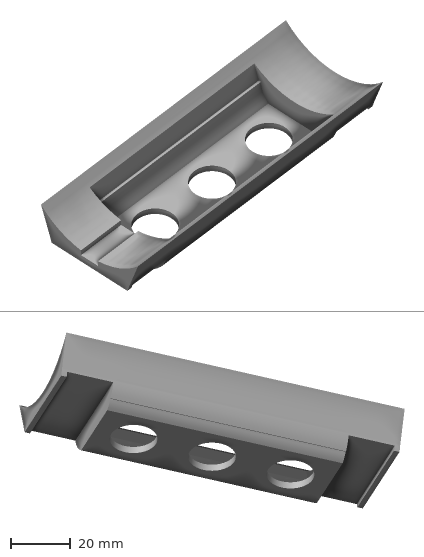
import cadquery as cq
import math

length = 121.0
height = 20.6
half_width = 22.0

cradle_bottom = 10.9
cradle_rise = height - cradle_bottom
cradle_radius = (half_width**2 + cradle_rise**2) / (2 * cradle_rise)

flank_bottom = 8.5
flank_half_width = 17.9
shoulder_bulge = 0.4
foot_top = 2.8
shoulder_half_width = 15.2
foot_ledge = 0.2
foot_half_width = 12.1
foot_bulge = 0.2

relief_z = 7.7
lip_z = 6.0
lip_thickness = 1.9
keel_length = 84.2

pocket_length = 81.3
pocket_floor = 2.5
pocket_floor_half_width = 11.9
ledge_z = 10.5
ledge_inner = 15.1
ledge_outer = 16.1
pocket_bulge = 0.8
wall_bend_z = 12.7
wall_bend_half_width = 16.8
pocket_mouth_half_width = 18.2
cradle_axis_z = cradle_bottom + cradle_radius
pocket_mouth_z = cradle_axis_z - math.sqrt(cradle_radius**2 - pocket_mouth_half_width**2)

hole_diameter = 16.0
hole_pitch = 28.1
hole_count = 3
channel_width = 7.7
channel_floor = 9.0


def extrude_centered(profile, depth):
    """Extrude an XZ profile symmetrically along Y."""
    return profile.extrude(depth / 2, both=True)


def spanning_box(z_bottom, z_top, y_start, y_end, width=2 * half_width):
    """Box centred on X between the given Y and Z limits."""
    return (
        cq.Workplane("XY", origin=(0, (y_start + y_end) / 2, z_bottom))
        .box(width, y_end - y_start, z_top - z_bottom, centered=(True, True, False))
    )


def bulged_midpoint(start, end, bulge):
    """Midpoint of a chord, pushed to the right of its travel direction."""
    dx = end[0] - start[0]
    dz = end[1] - start[1]
    chord = math.hypot(dx, dz)
    return (
        (start[0] + end[0]) / 2 + bulge * dz / chord,
        (start[1] + end[1]) / 2 - bulge * dx / chord,
    )


def make_body():
    foot_corner = (foot_half_width, 0)
    ledge_corner = (shoulder_half_width - foot_ledge, foot_top)
    shoulder = (shoulder_half_width, foot_top)
    flank = (flank_half_width, flank_bottom)
    half = (
        cq.Workplane("XZ")
        .lineTo(*foot_corner)
        .threePointArc(bulged_midpoint(foot_corner, ledge_corner, foot_bulge), ledge_corner)
        .lineTo(*shoulder)
        .threePointArc(bulged_midpoint(shoulder, flank, shoulder_bulge), flank)
        .lineTo(half_width, height)
        .lineTo(0, height)
        .close()
    )
    half = extrude_centered(half, length)
    cradle = cq.Workplane("XZ").center(0, cradle_axis_z).circle(cradle_radius)
    return half.union(half.mirror("YZ")).cut(extrude_centered(cradle, length))


def relieve_end(body, side):
    """Raise the underside at one end, leaving a thin lip at the end face."""
    keel_end = side * keel_length / 2
    lip_start = side * (length / 2 - lip_thickness)
    end = side * length / 2
    relief = spanning_box(0, relief_z, *sorted((keel_end, lip_start)))
    under_lip = spanning_box(0, lip_z, *sorted((lip_start, end)))
    return body.cut(relief).cut(under_lip)


def make_pocket():
    floor_corner = (pocket_floor_half_width, pocket_floor)
    ledge_corner = (ledge_inner, ledge_z)
    half = (
        cq.Workplane("XZ")
        .moveTo(0, pocket_floor)
        .lineTo(*floor_corner)
        .threePointArc(bulged_midpoint(floor_corner, ledge_corner, pocket_bulge), ledge_corner)
        .lineTo(ledge_outer, ledge_z)
        .lineTo(wall_bend_half_width, wall_bend_z)
        .lineTo(pocket_mouth_half_width, pocket_mouth_z)
        .lineTo(pocket_mouth_half_width, height)
        .lineTo(0, height)
        .close()
    )
    half = extrude_centered(half, pocket_length)
    return half.union(half.mirror("YZ"))


def make_holes():
    return (
        cq.Workplane("XY")
        .rarray(1.2, hole_pitch, 1, hole_count)
        .circle(hole_diameter / 2)
        .extrude(height)
    )


def make_channel():
    return spanning_box(channel_floor, height, -length / 2, -pocket_length / 2, channel_width)


result = make_body()
for side in (-1, 1):
    result = relieve_end(result, side)
result = result.cut(make_pocket()).cut(make_holes()).cut(make_channel())